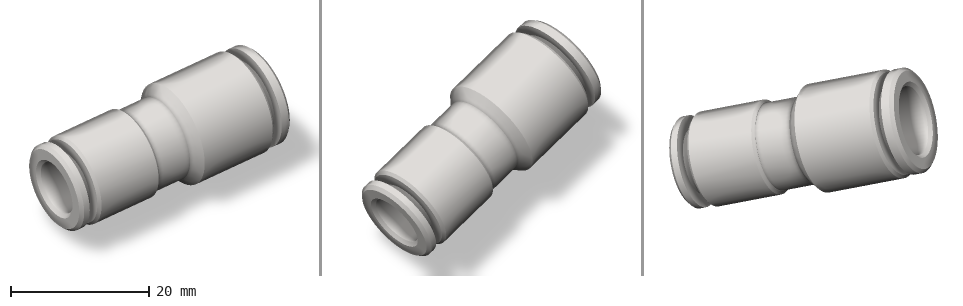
import cadquery as cq

length = 36.65
front_y = -length / 2
back_y = length / 2

large_radius = 8.008
small_radius = 7.0
waist_radius = 6.5
large_length = 14.05
small_length = 11.0
cone_length = large_radius - waist_radius
barrel_chamfer = 0.45

flange_chamfer = 0.5
neck_cone_rise = 0.15
neck_cone_length = 0.25
neck_overlap = 0.35
front_flange_radius = 6.78
front_flange_length = 1.5
front_neck_radius = 4.7
front_gap = 1.5
back_flange_radius = 7.77
back_flange_length = 1.8
back_neck_radius = 5.83
back_gap = 1.32

through_radius = 3.5
front_socket_radius = 4.05
back_socket_radius = 5.1
socket_depth = 16.5
mouth_chamfer = 0.5


def cylinder(radius, start_y, end_y):
    """Cylinder on the Y axis between two Y positions."""
    plane = cq.Workplane("XZ", origin=(0, end_y, 0))
    return plane.circle(radius).extrude(end_y - start_y)


def cone(start_radius, end_radius, start_y, end_y):
    """Truncated cone on the Y axis."""
    outline = [(0, start_y), (start_radius, start_y), (end_radius, end_y), (0, end_y)]
    return cq.Workplane("XY").polyline(outline).close().revolve(360, (0, 0), (0, 1))


def make_body():
    """Two chamfered barrels joined by the waist."""
    small_start = front_y + front_flange_length + front_gap
    small_end = small_start + small_length
    large_end = back_y - back_flange_length - back_gap
    cone_end = large_end - large_length
    cone_start = cone_end + cone_length
    small = cylinder(small_radius, small_start, small_end).faces("<Y or >Y").chamfer(barrel_chamfer)
    waist = cylinder(waist_radius, small_end - barrel_chamfer, cone_start)
    shoulder = cone(waist_radius, large_radius, cone_end, cone_start)
    large = cylinder(large_radius, cone_start, large_end).faces(">Y").chamfer(barrel_chamfer)
    return small.union(waist).union(shoulder).union(large)


def make_collar(end_y, inward, flange_radius, flange_length, neck_radius, gap):
    """Release collar; inward is the Y direction (+1 or -1) towards the body."""
    flange_inner = end_y + inward * flange_length
    neck_end = flange_inner + inward * (gap + neck_overlap)
    cone_end = flange_inner + inward * neck_cone_length
    outer_face = "<Y" if inward > 0 else ">Y"
    flange = cylinder(flange_radius, *sorted((end_y, flange_inner)))
    flange = flange.faces(outer_face).chamfer(flange_chamfer)
    neck = cylinder(neck_radius, *sorted((flange_inner, neck_end)))
    neck_cone = cone(neck_radius + neck_cone_rise, neck_radius, flange_inner, cone_end)
    return flange.union(neck).union(neck_cone)


def make_socket(end_y, inward, radius):
    """Tube socket with a chamfered mouth, as a cutting tool."""
    socket = cylinder(radius, *sorted((end_y, end_y + inward * socket_depth)))
    mouth = cone(radius + mouth_chamfer, radius, end_y, end_y + inward * mouth_chamfer)
    return socket.union(mouth)


front_collar = make_collar(
    front_y, 1, front_flange_radius, front_flange_length, front_neck_radius, front_gap
)
back_collar = make_collar(
    back_y, -1, back_flange_radius, back_flange_length, back_neck_radius, back_gap
)
outside = make_body().union(front_collar).union(back_collar)

result = (
    outside.cut(cylinder(through_radius, front_y, back_y))
    .cut(make_socket(front_y, 1, front_socket_radius))
    .cut(make_socket(back_y, -1, back_socket_radius))
)